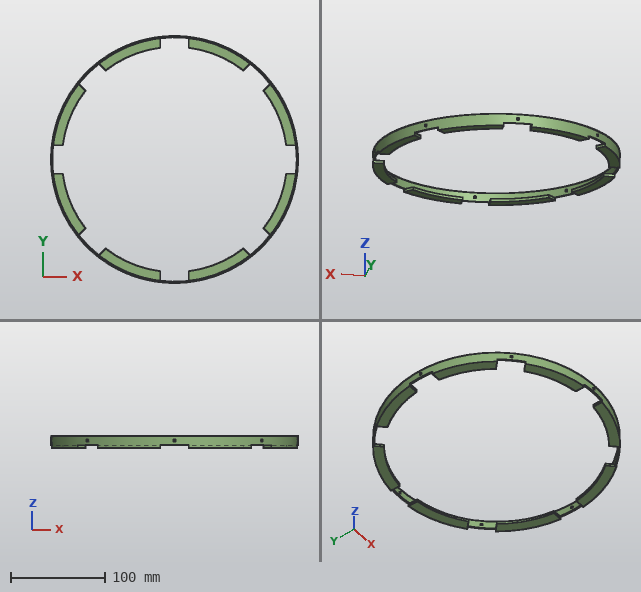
import cadquery as cq

outer_diameter = 262.0
bore_diameter = 258.9
flange_inner_diameter = 238.5
ring_height = 13.0
flange_thickness = 3.1

notch_count = 8
notch_width = 30.0
hole_diameter = 2.44

outer_radius = outer_diameter / 2
notch_pitch = 360 / notch_count
hole_height = (flange_thickness + ring_height) / 2


def make_tube(outside, inside, height):
    """Upright tube standing on the base plane."""
    return cq.Workplane("XY").circle(outside / 2).circle(inside / 2).extrude(height)


def make_notch(angle):
    """Straight-sided radial cutter through the flange and the wall beside it."""
    return (
        cq.Workplane("XY")
        .box(outer_radius, notch_width, flange_thickness, centered=(False, True, False))
        .translate((outer_radius / 2, 0, 0))
        .rotate((0, 0, 0), (0, 0, 1), angle)
    )


def make_hole(angle):
    """Radial cutter for a small hole through the wall above a notch."""
    return (
        cq.Workplane("YZ")
        .center(0, hole_height)
        .circle(hole_diameter / 2)
        .extrude(outer_diameter)
        .rotate((0, 0, 0), (0, 0, 1), angle)
    )


wall = make_tube(outer_diameter, bore_diameter, ring_height)
flange = make_tube(outer_diameter, flange_inner_diameter, flange_thickness)
result = wall.union(flange)

for index in range(notch_count):
    notch_angle = index * notch_pitch
    result = result.cut(make_notch(notch_angle))
    result = result.cut(make_hole(notch_angle))